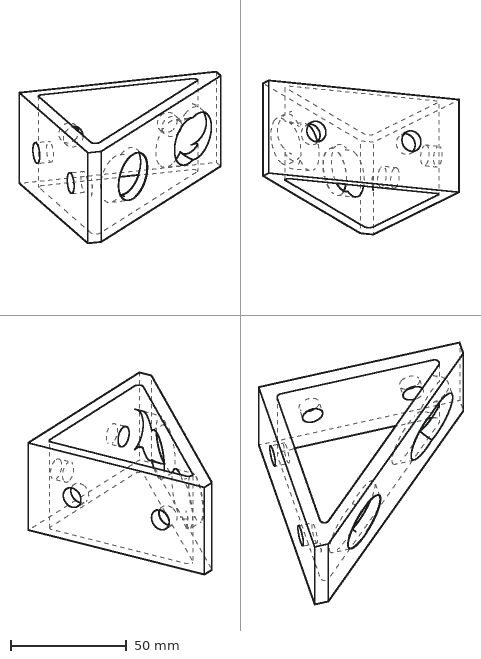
import cadquery as cq

leg = 90.0
height = 41.0
wall = 6.1
inner_diagonal = 87.5
corner_radius = 2.0
screw_diameter = 9.0
access_diameter = 20.0
near_place = leg / 4
far_place = leg - near_place
front_near_access = 28.6
side_near_access = 28.35
front_far_access = far_place
side_far_access = 73.35

middle = height / 2


def bore_along_y(x, diameter, start, length):
    return cq.Solid.makeCylinder(diameter / 2, length, cq.Vector(x, start, middle), cq.Vector(0, 1, 0))


def bore_along_x(y, diameter, start, length):
    return cq.Solid.makeCylinder(diameter / 2, length, cq.Vector(start, y, middle), cq.Vector(1, 0, 0))


body = (
    cq.Workplane("XY")
    .polyline([(0, 0), (leg, 0), (leg, wall), (wall, leg), (0, leg)])
    .close()
    .extrude(height)
)
window_end = inner_diagonal - wall
window = (
    cq.Workplane("XY")
    .polyline([(wall, wall), (window_end, wall), (wall, window_end)])
    .close()
    .extrude(height)
    .edges("|Z")
    .fillet(corner_radius)
)
result = body.cut(window)

for place in (near_place, far_place):
    result = result.cut(bore_along_y(place, screw_diameter, 0, wall))
    result = result.cut(bore_along_x(place, screw_diameter, 0, wall))

for place in (front_near_access, front_far_access):
    result = result.cut(bore_along_y(place, access_diameter, wall, leg))
for place in (side_near_access, side_far_access):
    result = result.cut(bore_along_x(place, access_diameter, wall, leg))